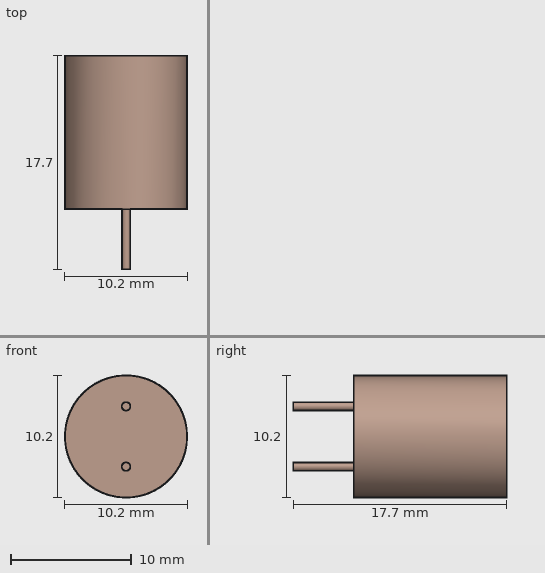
import cadquery as cq

overall_length = 17.7
body_diameter = 10.15
lead_length = 5.0
lead_diameter = 0.7
lead_pitch = 5.0

body_length = overall_length - lead_length


def make_body():
    """Plain cylinder along Y, with its lead face on the plane Y = 0."""
    return cq.Workplane("XZ").circle(body_diameter / 2).extrude(-body_length)


def make_leads():
    """Two round leads, one above the other, pointing toward -Y."""
    lead_centers = [(0, side * lead_pitch / 2) for side in (-1, 1)]
    return cq.Workplane("XZ").pushPoints(lead_centers).circle(lead_diameter / 2).extrude(lead_length)


result = make_body().union(make_leads())